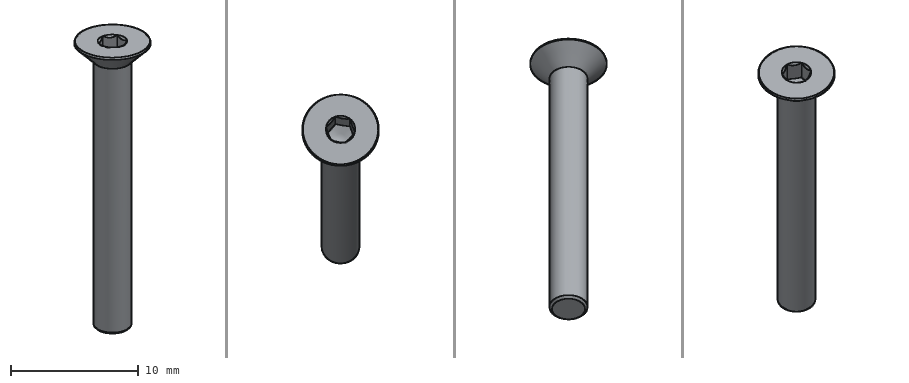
import cadquery as cq
import math

length = 25.0
shank_radius = 3.0 / 2
head_radius = 6.05 / 2
head_top_radius = 2.95
rim_height = 0.18
tip_chamfer = 0.2

across_flats = 2.0
socket_depth = 1.6
floor_cone_angle = 140.0
lead_in_depth = 0.2

rim_z = length - rim_height
neck_z = rim_z - (head_radius - shank_radius)


def make_body():
    """Revolve the half section of shank and countersunk head."""
    return (
        cq.Workplane("XZ")
        .lineTo(shank_radius - tip_chamfer, 0)
        .lineTo(shank_radius, tip_chamfer)
        .lineTo(shank_radius, neck_z)
        .lineTo(head_radius, rim_z)
        .lineTo(head_top_radius, length)
        .lineTo(0, length)
        .close()
        .revolve(360, (0, 0), (0, 1))
    )


def make_socket():
    """Hexagon with a conical floor and a conical lead-in at its mouth."""
    across_corners = across_flats / math.cos(math.pi / 6)
    corner_radius = across_corners / 2
    floor_z = length - socket_depth
    point_z = floor_z - corner_radius / math.tan(math.radians(floor_cone_angle / 2))
    drill = (
        cq.Workplane("XZ")
        .moveTo(0, point_z)
        .lineTo(corner_radius, floor_z)
        .lineTo(corner_radius, length)
        .lineTo(0, length)
        .close()
        .revolve(360, (0, point_z), (0, length))
    )
    hexagon = (
        cq.Workplane("XY")
        .workplane(offset=point_z)
        .polygon(6, across_corners)
        .extrude(length - point_z)
    )
    lead_in = (
        cq.Workplane("XZ")
        .moveTo(0, length)
        .lineTo(corner_radius, length)
        .lineTo(across_flats / 2, length - lead_in_depth)
        .lineTo(0, length - lead_in_depth)
        .close()
        .revolve(360, (0, 0), (0, 1))
    )
    return hexagon.intersect(drill).union(lead_in)


result = make_body().cut(make_socket())